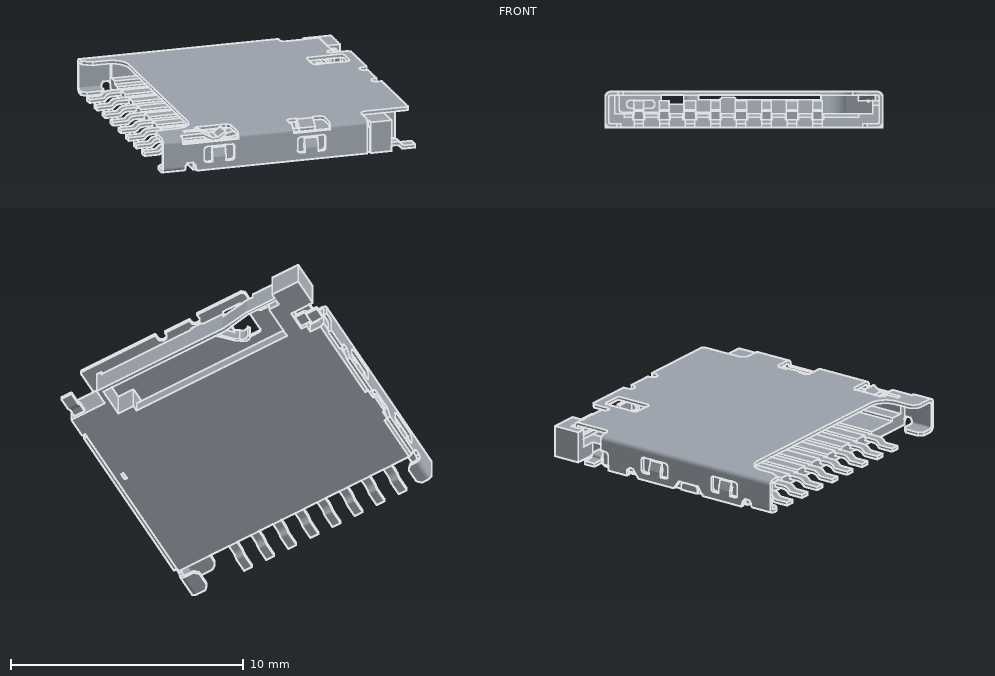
import cadquery as cq
import math

WIDTH = 11.95
DEPTH = 11.45
HEIGHT = 1.55
SHEET = 0.15
BEND_RADIUS = 0.25
PLATE_BOTTOM = HEIGHT - SHEET

LEFT_WALL_END = 9.0
RIGHT_WALL_END = 9.24
FOOT_DEPTH = 1.02
LEFT_FOOT_END = 0.67
RIGHT_FOOT_END = 11.09
FOOT_CORNER = 0.18
NOTCH_END = 1.53
RELIEF_HEIGHT = 0.4
FRONT_CUT_LEFT = 0.79
FRONT_CUT_RIGHT = 10.65
FRONT_CUT_DEPTH = 1.79
FRONT_CUT_RADIUS = 0.78
PLATE_LEFT = 0.61
PLATE_RIGHT = 10.85
STOP_TAB_RIGHT = 2.41
STOP_TAB_BACK = 10.81
STOP_TAB_BOTTOM = 0.66
TAB_SLIT_RIGHT = 2.71
TAB_SLIT_FRONT = 10.47
PLATE_CORNER = 0.12
TONGUE_FOLD_Z = 0.54
WINDOW_BOTTOM = 0.33
WINDOW_TOP = 1.05
TONGUE_TOP = 0.95
TONGUE_LEAN = 0.12
TONGUE_WIDTH = 0.6
LEFT_WINDOWS = ((2.44, 1.4), (6.14, 1.4))
RIGHT_WINDOWS = ((2.55, 1.37), (6.72, 1.27))

SLOT_LEFT = 10.89
SLOT_RIGHT = 11.51
REAR_SLOT = (5.9, 7.56)
EDGE_CUT_BOTTOM = 1.25
SPRING_SLOT_LEFT = 10.7
SPRING_SLOT = (1.76, 3.4)
SPRING_LEFT = 10.9
SPRING_RIGHT = 11.63
SPRING_ROOT = 1.91
SPRING_TIP = 2.93
SPRING_LOW = 1.16
EDGE_SLIT_FRONT = 0.9
EDGE_SLIT_RIGHT = 11.8

HOUSING_FRONT = 1.41
FLOOR_BACK = 9.32
FRONT_FLOOR = 0.45
REAR_FLOOR = 0.6
RAMP_START = 3.58
RAMP_END = 4.3
LEFT_LEDGE = 0.81
RIGHT_LEDGE = 10.91
LEFT_RAIL = 0.41
RIGHT_RAIL = 11.52
RIGHT_RAIL_TOP = 1.15
RAIL_CHAMFER = 0.19
RIGHT_RAIL_END = RIGHT_WALL_END + SHEET
CORNER_BLOCK_LEFT = 11.63
CORNER_FRONT = 10.2
CORNER_RIGHT = 1.3
CORNER_STEP = 10.86
BACK_WALL_TOP = 1.21
LOW_WALL_TOP = 1.0
LEVER_BOTTOM = 0.66
REAR_WALL_BACK = 11.03
WEB_LEFT = 10.04
BLOCK_LEFT = 9.29
BLOCK_BACK = 10.32

CONTACT_COUNT = 8
PITCH = 1.1
FIRST_CONTACT = 1.45
TAIL_WIDTH = 0.41
NARROW_SHOULDER = 0.51
WIDE_SHOULDER = 0.6
WIDE_CONTACTS = (2, 4, 6)
ARM_INSET = 0.05
STRIP_BOTTOM = 0.19
STRIP_TOP = STRIP_BOTTOM + SHEET
SHOULDER_START = 1.53
STRIP_END = 6.93


def block(x0, x1, y0, y1, z0, z1):
    """Box given by its limits along each axis."""
    return cq.Workplane("XY").box(x1 - x0, y1 - y0, z1 - z0, centered=False).translate((x0, y0, z0))


def prism_x(points, x0, x1):
    """Outline in (Y, Z) swept from x0 to x1."""
    return cq.Workplane("YZ", origin=(x0, 0, 0)).polyline(points).close().extrude(x1 - x0)


def mirrored(body):
    """Same shape on the opposite side in X."""
    return body.mirror("YZ").translate((WIDTH, 0, 0))


def rounded_tube(y0, y1, bottom):
    """Sheet metal tube along Y with rounded corners."""
    outer = block(0, WIDTH, y0, y1, bottom, HEIGHT).edges("|Y").fillet(BEND_RADIUS)
    inner = block(SHEET, WIDTH - SHEET, y0, y1, bottom + SHEET, PLATE_BOTTOM)
    return outer.cut(inner.edges("|Y").fillet(BEND_RADIUS - SHEET))


def plate_outline():
    """Outline of the shell seen from above, as a tall prism."""
    scoop_y = FRONT_CUT_DEPTH - FRONT_CUT_RADIUS
    arc_offset = FRONT_CUT_RADIUS * (1 - math.sqrt(0.5))
    left_corner = (0.55, 0.43)
    right_corner = 0.38
    rear_radius = 0.3
    left_radius = 0.22
    rear_bevel = 0.06
    outline = (
        cq.Workplane("XY")
        .moveTo(0, 0)
        .lineTo(left_corner[0], 0)
        .lineTo(FRONT_CUT_LEFT, left_corner[1])
        .lineTo(FRONT_CUT_LEFT, scoop_y)
        .threePointArc(
            (FRONT_CUT_LEFT + arc_offset, FRONT_CUT_DEPTH - arc_offset),
            (FRONT_CUT_LEFT + FRONT_CUT_RADIUS, FRONT_CUT_DEPTH),
        )
        .lineTo(FRONT_CUT_RIGHT - FRONT_CUT_RADIUS, FRONT_CUT_DEPTH)
        .threePointArc(
            (FRONT_CUT_RIGHT - arc_offset, FRONT_CUT_DEPTH - arc_offset),
            (FRONT_CUT_RIGHT, scoop_y),
        )
        .lineTo(FRONT_CUT_RIGHT, right_corner)
        .tangentArcPoint((FRONT_CUT_RIGHT + right_corner, 0), relative=False)
        .lineTo(WIDTH, 0)
        .lineTo(WIDTH, RIGHT_WALL_END)
        .lineTo(PLATE_RIGHT + rear_radius, RIGHT_WALL_END)
        .tangentArcPoint((PLATE_RIGHT, RIGHT_WALL_END + rear_radius), relative=False)
        .lineTo(PLATE_RIGHT, DEPTH - rear_bevel)
        .lineTo(PLATE_RIGHT - rear_bevel, DEPTH)
        .lineTo(TAB_SLIT_RIGHT + PLATE_CORNER, DEPTH)
        .lineTo(TAB_SLIT_RIGHT, DEPTH - PLATE_CORNER)
        .lineTo(TAB_SLIT_RIGHT, STOP_TAB_BACK)
        .lineTo(PLATE_LEFT, STOP_TAB_BACK)
        .lineTo(PLATE_LEFT, LEFT_WALL_END + left_radius)
        .tangentArcPoint((PLATE_LEFT - left_radius, LEFT_WALL_END), relative=False)
        .lineTo(0, LEFT_WALL_END)
        .close()
    )
    return outline.extrude(HEIGHT)


def plate_openings():
    """Rear notches, tab slit and inspection window in the top plate."""
    slit_width = TAB_SLIT_RIGHT - STOP_TAB_RIGHT
    slit = block(STOP_TAB_RIGHT, TAB_SLIT_RIGHT, TAB_SLIT_FRONT, DEPTH, 0, HEIGHT)
    slit = slit.edges("|Z and <Y").fillet(0.45 * slit_width)
    window = block(3.05, 4.06, 9.35, 11.02, PLATE_BOTTOM, HEIGHT).edges("|Z").fillet(PLATE_CORNER)
    notch_width = 0.42
    notch_front = 11.05
    notch_left = 5.04
    notch_right = 7.11
    recess_edge = 11.35
    openings = slit.union(window)
    openings = openings.union(block(notch_left, notch_right, recess_edge, DEPTH, 0, HEIGHT))
    for x0 in (notch_left, notch_right - notch_width):
        notch = block(x0, x0 + notch_width, notch_front, DEPTH, 0, HEIGHT)
        openings = openings.union(notch.edges("|Z and <Y").fillet(0.45 * notch_width))
    return openings


def stop_tab():
    """Tab bent down from the rear left plate edge, with a long hole."""
    tab = block(
        PLATE_LEFT, STOP_TAB_RIGHT, STOP_TAB_BACK - BEND_RADIUS, STOP_TAB_BACK, STOP_TAB_BOTTOM, HEIGHT
    )
    tab = tab.edges(">Y and >Z").fillet(SHEET)
    tab = tab.cut(
        block(
            PLATE_LEFT, STOP_TAB_RIGHT, STOP_TAB_BACK - BEND_RADIUS, STOP_TAB_BACK - SHEET, 0, PLATE_BOTTOM
        )
    )
    tab = tab.edges("|Y and <Z").fillet(PLATE_CORNER)
    hole = block(0.92, 2.14, 0, DEPTH, 0.84, 1.17).edges("|Y").fillet(0.15)
    return tab.cut(hole)


def left_wall_reliefs():
    """Cutouts along the lower edge of the left wall."""
    rear = block(0, SHEET, 8.6, LEFT_WALL_END, 0, 0.84).edges("|X and >Z and <Y").fillet(0.18)
    hook_points = [(7.61, 0), (7.61, 0.27), (7.47, RELIEF_HEIGHT), (7.29, RELIEF_HEIGHT), (7.0, 0)]
    hook = prism_x(hook_points, 0, SHEET)
    middle = prism_x([(5.13, 0), (4.85, RELIEF_HEIGHT), (3.84, RELIEF_HEIGHT), (3.57, 0)], 0, SHEET)
    return rear.union(hook).union(middle)


def foot_relief():
    """Notch through both walls just behind the feet."""
    shoulder = 0.25
    points = [
        (FOOT_DEPTH, 0),
        (FOOT_DEPTH, shoulder),
        (1.1, RELIEF_HEIGHT),
        (1.34, RELIEF_HEIGHT),
        (1.46, shoulder),
        (NOTCH_END, 0),
    ]
    return prism_x(points, 0, WIDTH)


def wall_window(center_y, length):
    """Rounded opening in the left wall."""
    opening = block(0, SHEET, center_y - length / 2, center_y + length / 2, WINDOW_BOTTOM, WINDOW_TOP)
    return opening.edges("|X").fillet(0.14)


def wall_tongue(center_y):
    """Latching tongue standing in a left wall window, its tip leaning inward."""
    profile = [
        (0, WINDOW_BOTTOM),
        (SHEET, WINDOW_BOTTOM),
        (SHEET, TONGUE_FOLD_Z),
        (SHEET + TONGUE_LEAN, TONGUE_TOP),
        (TONGUE_LEAN, TONGUE_TOP),
        (0, TONGUE_FOLD_Z),
    ]
    plane = cq.Workplane("XZ", origin=(0, center_y + TONGUE_WIDTH / 2, 0))
    return plane.polyline(profile).close().extrude(TONGUE_WIDTH)


def edge_openings():
    """Openings in the plate and bend along the right side."""
    rear = block(SLOT_LEFT, SLOT_RIGHT, *REAR_SLOT, PLATE_BOTTOM, HEIGHT)
    rear = rear.edges("|Z and <X").fillet(0.18)
    rear_edge = block(SLOT_RIGHT, WIDTH, *REAR_SLOT, EDGE_CUT_BOTTOM, HEIGHT)
    spring = block(SPRING_SLOT_LEFT, SPRING_RIGHT, *SPRING_SLOT, PLATE_BOTTOM, HEIGHT)
    spring = spring.edges("|Z and <X").chamfer(SHEET)
    spring_edge = block(SPRING_RIGHT, WIDTH, EDGE_SLIT_FRONT, SPRING_SLOT[1], EDGE_CUT_BOTTOM, HEIGHT)
    spring_corner = block(
        SPRING_RIGHT, EDGE_SLIT_RIGHT, EDGE_SLIT_FRONT, SPRING_SLOT[1], PLATE_BOTTOM - SHEET, HEIGHT
    )
    slit = block(11.02, 11.21, 1.21, SPRING_ROOT, PLATE_BOTTOM, HEIGHT)
    return rear.union(rear_edge).union(spring).union(spring_edge).union(spring_corner).union(slit)


def card_spring():
    """Plate tongue that dips toward the card and lifts again at its tip."""
    low_start = 2.33
    low_end = 2.57
    points = [
        (SPRING_SLOT[0], HEIGHT),
        (SPRING_ROOT, HEIGHT),
        (low_start, SPRING_LOW + SHEET),
        (low_end, SPRING_LOW + SHEET),
        (SPRING_TIP, HEIGHT),
        (SPRING_TIP, PLATE_BOTTOM),
        (low_end, SPRING_LOW),
        (low_start, SPRING_LOW),
        (SPRING_ROOT, PLATE_BOTTOM),
        (SPRING_SLOT[0], PLATE_BOTTOM),
    ]
    return prism_x(points, 11.21, SPRING_RIGHT).union(prism_x(points[1:-1], SPRING_LEFT, SPRING_RIGHT))


def side_spring():
    """Tongue sloping down from the inner edge of the rear side opening."""
    tip_x = 11.34
    tip_drop = 0.3
    fold = 10.99
    front = 6.36
    back = 7.07
    points = [
        (SLOT_LEFT, HEIGHT),
        (fold, HEIGHT),
        (tip_x, HEIGHT - tip_drop),
        (tip_x, PLATE_BOTTOM - tip_drop),
        (fold, PLATE_BOTTOM),
        (SLOT_LEFT, PLATE_BOTTOM),
    ]
    return cq.Workplane("XZ", origin=(0, back, 0)).polyline(points).close().extrude(back - front)


def between_feet():
    """Gap between the feet, widened at both ends so that the foot corners are bevelled."""
    points = [
        (LEFT_FOOT_END - FOOT_CORNER, 0),
        (LEFT_FOOT_END, FOOT_CORNER),
        (LEFT_FOOT_END, FOOT_DEPTH - FOOT_CORNER),
        (LEFT_FOOT_END - FOOT_CORNER, FOOT_DEPTH),
        (RIGHT_FOOT_END + FOOT_CORNER, FOOT_DEPTH),
        (RIGHT_FOOT_END, FOOT_DEPTH - FOOT_CORNER),
        (RIGHT_FOOT_END, FOOT_CORNER),
        (RIGHT_FOOT_END + FOOT_CORNER, 0),
    ]
    return cq.Workplane("XY").polyline(points).close().extrude(SHEET)


def make_shell():
    feet = rounded_tube(0, FOOT_DEPTH, 0).cut(between_feet())
    cover = rounded_tube(FOOT_DEPTH, DEPTH, -HEIGHT)
    shell = cover.union(feet).intersect(plate_outline())
    shell = shell.cut(plate_openings()).cut(left_wall_reliefs()).cut(foot_relief()).cut(edge_openings())
    for center_y, length in LEFT_WINDOWS:
        shell = shell.cut(wall_window(center_y, length)).union(wall_tongue(center_y))
    for center_y, length in RIGHT_WINDOWS:
        shell = shell.cut(mirrored(wall_window(center_y, length)))
        shell = shell.union(mirrored(wall_tongue(center_y)))
    shell = shell.cut(block(PLATE_LEFT, STOP_TAB_RIGHT, STOP_TAB_BACK - SHEET, DEPTH, 0, HEIGHT))
    return shell.union(stop_tab()).union(card_spring()).union(side_spring())


def tail(width, foot_length, bend_length, length):
    """Solder tail along +Y: foot on the ground, S-bend, raised flat end. Centred on X = 0."""
    bend_end = foot_length + bend_length
    turn = 0.3
    turn_y = foot_length + turn * bend_length
    shift = 0.04
    profile = (
        cq.Workplane("YZ", origin=(-width / 2, 0, 0))
        .moveTo(0, 0)
        .lineTo(foot_length + shift, 0)
        .tangentArcPoint((turn_y + shift, turn * STRIP_BOTTOM), relative=False)
        .tangentArcPoint((bend_end + shift, STRIP_BOTTOM), relative=False)
        .lineTo(length, STRIP_BOTTOM)
        .lineTo(length, STRIP_TOP)
        .lineTo(bend_end, STRIP_TOP)
        .tangentArcPoint((turn_y, SHEET + turn * STRIP_BOTTOM), relative=False)
        .tangentArcPoint((foot_length, SHEET), relative=False)
        .lineTo(0, SHEET)
        .close()
    )
    return profile.extrude(width)


def spring_arm(width):
    """Steep arm at the rear of the strip, its tip bent forward and down. Centred on X = 0."""
    points = [
        (STRIP_END, STRIP_BOTTOM),
        (STRIP_END, STRIP_TOP),
        (6.75, 1.16),
        (6.61, 1.16),
        (6.51, 1.05),
        (6.21, 0.76),
        (6.33, 0.69),
        (6.62, 0.97),
        (6.75, STRIP_TOP),
        (6.75, STRIP_BOTTOM),
    ]
    return prism_x(points, -width / 2, width / 2)


def contact_x(index):
    return FIRST_CONTACT + index * PITCH


def shoulder_width(index):
    return WIDE_SHOULDER if index in WIDE_CONTACTS else NARROW_SHOULDER


def make_contact(index):
    shoulder = shoulder_width(index)
    strip = block(-shoulder / 2, shoulder / 2, SHOULDER_START, STRIP_END, STRIP_BOTTOM, STRIP_TOP)
    foot_length = 0.59
    bend_length = 0.38
    contact = tail(TAIL_WIDTH, foot_length, bend_length, SHOULDER_START).union(strip)
    contact = contact.union(spring_arm(shoulder - 2 * ARM_INSET))
    return contact.translate((contact_x(index), 0, 0))


def housing_floor():
    """Floor that ramps up behind the contact entry, with a higher ledge along each side."""
    profile = [
        (HOUSING_FRONT, 0),
        (HOUSING_FRONT, FRONT_FLOOR),
        (RAMP_START, FRONT_FLOOR),
        (RAMP_END, REAR_FLOOR),
        (FLOOR_BACK, REAR_FLOOR),
        (FLOOR_BACK, 0),
    ]
    floor = prism_x(profile, LEFT_LEDGE, RIGHT_LEDGE)
    left_ledge = block(SHEET, LEFT_LEDGE, HOUSING_FRONT, LEFT_WALL_END, 0, REAR_FLOOR)
    left_ledge = left_ledge.edges("|Y and <X and <Z").chamfer(SHEET)
    right_ledge = block(RIGHT_LEDGE, WIDTH - SHEET, HOUSING_FRONT, RIGHT_WALL_END, 0, REAR_FLOOR)
    return floor.union(left_ledge).union(right_ledge).union(side_nub())


def side_nub():
    """Nub in the middle cutout of the left wall, on a short unbevelled stretch of the ledge."""
    nub = block(0.07, 2 * SHEET, 3.93, 4.77, 0, 0.35).edges("|X and >Z").chamfer(0.08)
    base = block(SHEET, 2 * SHEET, 3.53, 5.17, 0, SHEET)
    return nub.union(base)


def side_rails():
    """Card guides along the shell walls."""
    left = block(SHEET, LEFT_RAIL, HOUSING_FRONT, LEFT_WALL_END, REAR_FLOOR, PLATE_BOTTOM)
    left = left.edges("|Y and <X and >Z").fillet(BEND_RADIUS - SHEET)
    right = block(RIGHT_RAIL, WIDTH - SHEET, HOUSING_FRONT, RIGHT_RAIL_END, 0, RIGHT_RAIL_TOP)
    return left.union(right.edges("|X and <Y and >Z").chamfer(RAIL_CHAMFER))


def tongue_pits():
    pits = cq.Workplane("XY")
    for center_y, _ in LEFT_WINDOWS:
        pits = pits.union(tongue_pit(center_y))
    for center_y, _ in RIGHT_WINDOWS:
        pits = pits.union(mirrored(tongue_pit(center_y)))
    return pits


def tongue_pit(center_y):
    """Pit in the left rail for one latching tongue."""
    half = TONGUE_WIDTH / 2
    return block(SHEET, SHEET + TONGUE_LEAN, center_y - half, center_y + half, TONGUE_FOLD_Z, WINDOW_TOP)


def rear_left_corner():
    """Corner block and the lower shelf beside it."""
    corner = block(0, CORNER_RIGHT, CORNER_FRONT, DEPTH, 0, PLATE_BOTTOM)
    pocket = block(LEFT_RAIL, CORNER_RIGHT, CORNER_FRONT, CORNER_STEP, REAR_FLOOR, PLATE_BOTTOM)
    shelf_left = 1.08
    shelf_right = 1.79
    shelf = block(shelf_left, shelf_right, LEFT_WALL_END, CORNER_STEP, 0, REAR_FLOOR)
    return corner.cut(pocket).union(shelf)


def rear_wall():
    """Thin wall along the rear: stepped, then slanting forward to a straight stretch."""
    back = 11.22
    step = 2.4
    front = 11.1
    straight_front = 10.86
    low_end = 3.98
    first = block(CORNER_RIGHT, step, front, back, 0, PLATE_BOTTOM - SHEET)
    slant = [
        (step, front),
        (TAB_SLIT_RIGHT, front),
        (low_end, straight_front),
        (low_end, REAR_WALL_BACK),
        (TAB_SLIT_RIGHT, back),
        (step, back),
    ]
    low = cq.Workplane("XY").polyline(slant).close().extrude(LOW_WALL_TOP)
    straight = block(low_end, WEB_LEFT, straight_front, REAR_WALL_BACK, 0, BACK_WALL_TOP)
    bump = block(4.96, 5.63, straight_front, REAR_WALL_BACK, BACK_WALL_TOP, 1.31)
    bump = bump.edges("|Y and >Z").chamfer(0.08)
    return first.union(low).union(straight).union(bump)


def detect_lever():
    """Curved upright leaf whose free end shows below the plate window."""
    thickness = 0.12
    tip = (
        cq.Workplane("XY", origin=(0, 0, LEVER_BOTTOM))
        .moveTo(3.38, 9.74)
        .threePointArc((3.61, 9.63), (3.82, 9.74))
        .lineTo(4.03, 9.87)
        .lineTo(4.03, 9.87 + thickness)
        .lineTo(3.82, 9.74 + thickness)
        .threePointArc((3.61, 9.63 + thickness), (3.44, 9.74 + thickness))
        .close()
        .extrude(PLATE_BOTTOM - LEVER_BOTTOM)
    )
    arm_points = [(4.03, 9.87), (4.96, 10.84), (4.96, 10.99), (4.03, 9.87 + thickness)]
    arm = cq.Workplane("XY", origin=(0, 0, LEVER_BOTTOM)).polyline(arm_points).close()
    return tip.union(arm.extrude(BACK_WALL_TOP - LEVER_BOTTOM))


def rear_right_block():
    """Card stop with a slanted corner, a web to the rear wall and the block at the shell corner."""
    stop_front = 8.96
    slant_front = 7.65
    stop_back = 9.58
    web_right = 10.28
    profile = (
        cq.Workplane("XY")
        .moveTo(BLOCK_LEFT, stop_front)
        .lineTo(9.63, stop_front)
        .tangentArcPoint((10.36, 8.59), relative=False)
        .lineTo(RIGHT_RAIL, slant_front)
        .lineTo(CORNER_BLOCK_LEFT, slant_front)
        .lineTo(CORNER_BLOCK_LEFT, BLOCK_BACK)
        .lineTo(web_right, BLOCK_BACK)
        .lineTo(web_right, REAR_WALL_BACK)
        .lineTo(WEB_LEFT, REAR_WALL_BACK)
        .lineTo(WEB_LEFT, stop_back)
        .lineTo(BLOCK_LEFT, stop_back)
        .close()
    )
    outer = block(CORNER_BLOCK_LEFT, WIDTH, RIGHT_RAIL_END, BLOCK_BACK, 0, PLATE_BOTTOM)
    return profile.extrude(PLATE_BOTTOM).union(outer)


def solder_tails():
    """Tails at the rear right and at the left, fixed in the housing."""
    rear_x = 11.54
    rear = tail(width=NARROW_SHOULDER, foot_length=0.5, bend_length=0.33, length=1.31)
    rear = rear.rotate((0, 0, 0), (0, 0, 1), 180).translate((rear_x, DEPTH, 0))
    left_y = 9.61
    left = tail(width=NARROW_SHOULDER, foot_length=0.47, bend_length=0.19, length=1.25)
    left = left.rotate((0, 0, 0), (0, 0, 1), -90).translate((0, left_y, 0))
    return rear.union(left)


def contact_groove(index):
    """Open groove above the strip of one contact."""
    half = shoulder_width(index) / 2
    center = contact_x(index)
    return block(center - half, center + half, HOUSING_FRONT, STRIP_END, STRIP_TOP, REAR_FLOOR)


def make_housing(contacts):
    housing = housing_floor().union(side_rails()).union(rear_left_corner())
    housing = housing.union(rear_wall()).union(detect_lever()).union(rear_right_block())
    housing = housing.cut(tongue_pits())
    latch_hole = block(11.35, 11.47, 6.57, 6.88, 0, REAR_FLOOR)
    housing = housing.cut(latch_hole).union(solder_tails())
    for index, contact in enumerate(contacts):
        housing = housing.cut(contact_groove(index)).cut(contact)
    return housing


contacts = [make_contact(index) for index in range(CONTACT_COUNT)]
shell = make_shell()
housing = make_housing(contacts)
result = cq.Compound.makeCompound([shell.val(), housing.val(), *[contact.val() for contact in contacts]])